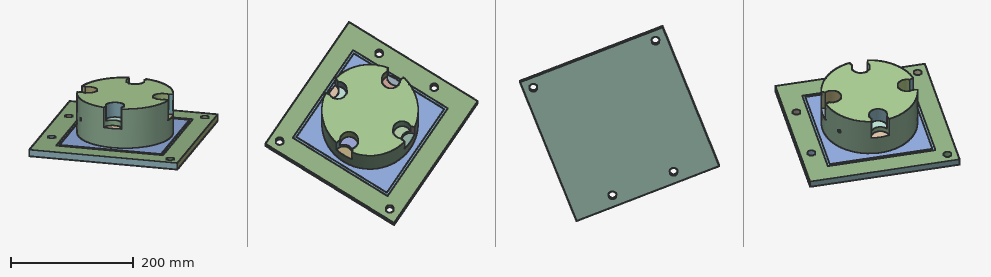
import cadquery as cq
import math

plate_size = 250.0
plate_thickness = 11.5

total_height = 79.0
boss_radius = 157.0 / 2
boss_x = 3.0
boss_y = -1.0

notch_count = 4
notch_radius = 15.0
inner_notch_offset = 62.5
rim_notch_floor = 44.5
inner_notch_floor = 53.8

mark_diameter = 5.5
mark_depth = 0.2
mark_height = rim_notch_floor
mark_angle = 218.0

groove_x = 2.0
groove_y = boss_y
groove_outer_length = 180.0
groove_outer_width = 184.0
groove_line_width = 4.2
groove_depth = 0.5

mount_diameter = 13.0
mount_x = 1.0
mount_y = boss_y
mount_half_length = 107.5
wide_half_spacing = 107.0
narrow_half_spacing = wide_half_spacing / 2


def upright_cylinder(x, y, radius, bottom, top):
    return cq.Workplane("XY", origin=(x, y, bottom)).circle(radius).extrude(top - bottom)


def make_plate():
    plate = cq.Workplane("XY").box(plate_size, plate_size, plate_thickness, centered=(True, True, False))
    hole_points = [
        (mount_x + side * mount_half_length, mount_y + end * spacing)
        for side, spacing in ((1, wide_half_spacing), (-1, narrow_half_spacing))
        for end in (-1, 1)
    ]
    return plate.faces(">Z").workplane(origin=(0, 0, 0)).pushPoints(hole_points).hole(mount_diameter)


def make_groove():
    inner_length = groove_outer_length - 2 * groove_line_width
    inner_width = groove_outer_width - 2 * groove_line_width
    return (
        cq.Workplane("XY", origin=(groove_x, groove_y, plate_thickness - groove_depth))
        .rect(groove_outer_length, groove_outer_width)
        .rect(inner_length, inner_width)
        .extrude(groove_depth)
    )


def cut_notches(boss):
    steps = ((boss_radius, rim_notch_floor), (inner_notch_offset, inner_notch_floor))
    for index in range(notch_count):
        angle = 2 * math.pi * index / notch_count
        for offset, floor in steps:
            x = boss_x + offset * math.cos(angle)
            y = boss_y + offset * math.sin(angle)
            boss = boss.cut(upright_cylinder(x, y, notch_radius, floor, total_height))
    return boss


def make_mark():
    angle = math.radians(mark_angle)
    outward = (math.cos(angle), math.sin(angle), 0)
    axis_plane = cq.Plane(origin=(boss_x, boss_y, mark_height), xDir=(0, 0, 1), normal=outward)
    pin = cq.Workplane(axis_plane).circle(mark_diameter / 2).extrude(boss_radius)
    core = upright_cylinder(boss_x, boss_y, boss_radius - mark_depth, plate_thickness, total_height)
    return pin.cut(core)


boss = upright_cylinder(boss_x, boss_y, boss_radius, plate_thickness, total_height)
boss = cut_notches(boss).cut(make_mark())
result = make_plate().cut(make_groove()).union(boss)